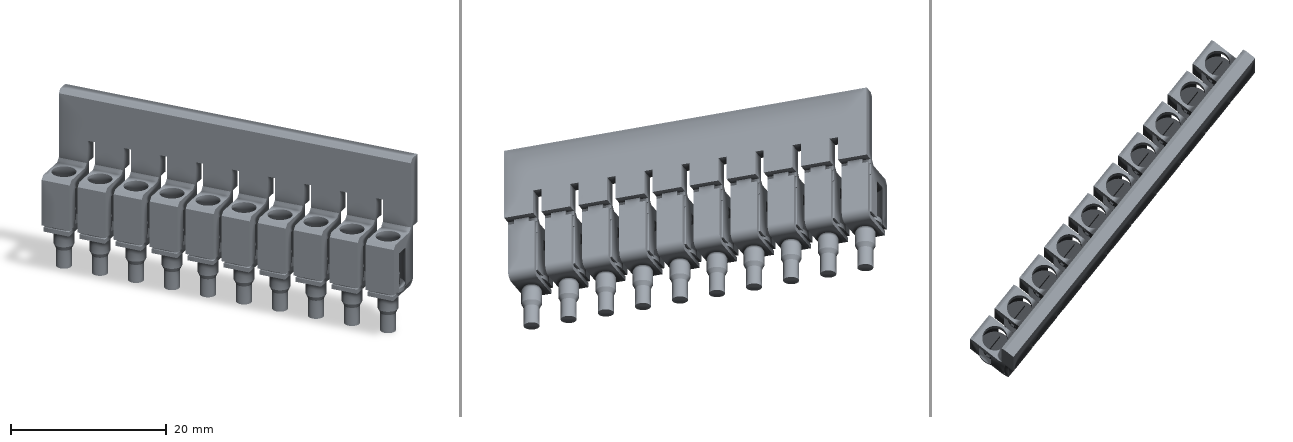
import cadquery as cq

overall_length = 50.2
screw_count = 10
flange_diameter = 4.3
pitch = (overall_length - flange_diameter) / (screw_count - 1)
screw_places = [(i - (screw_count - 1) / 2) * pitch for i in range(screw_count)]

block_width = 3.95
bar_length = (screw_count - 1) * pitch + block_width
gap_width = pitch - block_width
bar_top = 23.35
plate_thickness = 1.95
plate_bottom = 13.7
gap_top = 16.9
block_front = 7.15
block_top = 13.25
block_bottom = 6.35
top_chamfer = 0.5
corner_chamfer = 0.5

screw_setback = 4.6
access_diameter = 3.2
bore_diameter = 4.4
bore_top = 11.6

strip_width = 3.6
strip_thickness = 0.6
strip_back = 0.9
strip_end = 7.0
strip_top = 13.1
strip_seat = 6.0
strip_bottom = strip_seat - strip_thickness
strip_front = strip_back + strip_thickness
bend_inner_radius = 0.5
bend_outer_radius = bend_inner_radius + strip_thickness

tab_width = 2.0
tab_front = 1.35
strip_clearance = 0.15
relief_back = strip_front + strip_clearance

head_diameter = 3.05
head_top = 8.05
flange_top = 6.65
slot_width = 0.6
slot_bottom = 6.95
collar_diameter = 2.65
collar_top = 4.95
collar_bottom = 3.15
tip_diameter = 2.05
cone_height = 0.6


def extrude_along_x(outline, width):
    """Extrude a YZ outline symmetrically about X = 0."""
    return outline.close().extrude(width / 2, both=True)


def make_bar():
    outline = (
        cq.Workplane("YZ")
        .moveTo(0, bar_top)
        .lineTo(-plate_thickness + top_chamfer, bar_top)
        .lineTo(-plate_thickness, bar_top - top_chamfer)
        .lineTo(-plate_thickness, block_top + corner_chamfer)
        .lineTo(-plate_thickness - corner_chamfer, block_top)
        .lineTo(-block_front + corner_chamfer, block_top)
        .lineTo(-block_front, block_top - corner_chamfer)
        .lineTo(-block_front, block_bottom)
        .lineTo(-relief_back, block_bottom)
        .lineTo(-relief_back, bore_top)
        .lineTo(-strip_front, bore_top)
        .lineTo(-strip_front, strip_top)
        .lineTo(-tab_front, strip_top)
        .lineTo(-tab_front, plate_bottom)
        .lineTo(0, plate_bottom)
    )
    bar = extrude_along_x(outline, bar_length)
    gap_places = [(x + pitch / 2, -block_front / 2) for x in screw_places[:-1]]
    gaps = (
        cq.Workplane("XY")
        .pushPoints(gap_places)
        .rect(gap_width, block_front)
        .extrude(gap_top)
    )
    return bar.cut(gaps)


def make_bores():
    places = [(x, -screw_setback) for x in screw_places]
    wide_bore = (
        cq.Workplane("XY").pushPoints(places).circle(bore_diameter / 2).extrude(bore_top)
    )
    access_hole = (
        cq.Workplane("XY").pushPoints(places).circle(access_diameter / 2).extrude(bar_top)
    )
    return wide_bore, access_hole


def make_strip():
    outline = (
        cq.Workplane("YZ")
        .moveTo(-strip_back, strip_top)
        .lineTo(-strip_back, strip_bottom + bend_outer_radius)
        .radiusArc((-strip_back - bend_outer_radius, strip_bottom), bend_outer_radius)
        .lineTo(-strip_end, strip_bottom)
        .lineTo(-strip_end, strip_seat)
        .lineTo(-strip_front - bend_inner_radius, strip_seat)
        .radiusArc((-strip_front, strip_seat + bend_inner_radius), -bend_inner_radius)
        .lineTo(-strip_front, strip_top)
    )
    strip = extrude_along_x(outline, strip_width)
    tab = cq.Workplane("XY").box(
        tab_width, tab_front - strip_back, plate_bottom - strip_top, centered=(True, False, False)
    )
    return strip.union(tab.translate((0, -tab_front, strip_top)))


def make_screw():
    half_profile = (
        cq.Workplane("XZ")
        .moveTo(0, 0)
        .lineTo(tip_diameter / 2, 0)
        .lineTo(tip_diameter / 2, collar_bottom - cone_height)
        .lineTo(collar_diameter / 2, collar_bottom)
        .lineTo(collar_diameter / 2, collar_top)
        .lineTo(tip_diameter / 2, collar_top + cone_height)
        .lineTo(tip_diameter / 2, strip_seat)
        .lineTo(flange_diameter / 2, strip_seat)
        .lineTo(flange_diameter / 2, flange_top)
        .lineTo(head_diameter / 2, flange_top)
        .lineTo(head_diameter / 2, head_top)
        .lineTo(0, head_top)
        .close()
    )
    screw = half_profile.revolve(360, (0, 0, 0), (0, 1, 0))
    slot = (
        cq.Workplane("XY", origin=(0, 0, slot_bottom))
        .rect(head_diameter, slot_width)
        .extrude(head_top - slot_bottom)
    )
    return screw.cut(slot).translate((0, -screw_setback, 0))


bar = make_bar()
for bore in make_bores():
    bar = bar.cut(bore)

strip_and_screw = make_strip().union(make_screw())
result = bar
for x in screw_places:
    result = result.union(strip_and_screw.translate((x, 0, 0)))